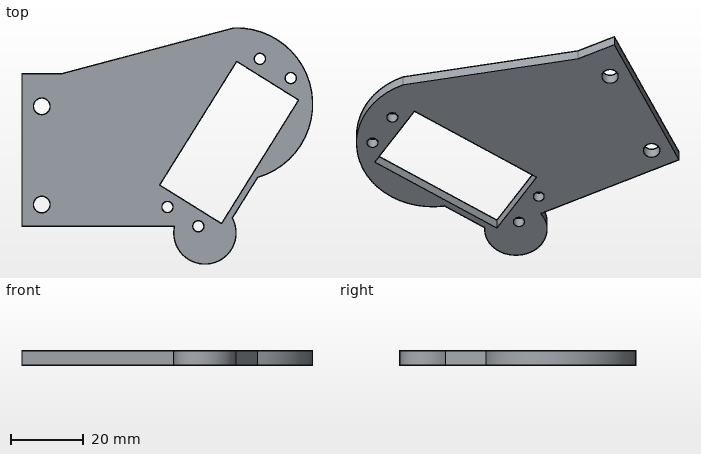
import cadquery as cq
import math

thickness = 4.0
overall_length = 80.0
plate_height = 42.0
top_flat_length = 11.0

large_radius = 21.0
large_center = (overall_length - large_radius, 33.6)
large_arc_start_offset = 0.7

small_radius = 8.6
small_center = (50.35, -1.8)

servo_center = (57.0, 23.05)
servo_angle = 58.05
window_length = 40.0
window_width = 20.0
window_wall = 1.75
servo_hole_diameter = 3.0
servo_hole_length_pitch = 48.0
servo_hole_width_pitch = 10.0

mount_hole_diameter = 4.5
mount_hole_inset = 5.5
mount_hole_bottom = 6.0
mount_hole_pitch = 27.0

angle = math.radians(servo_angle)
along = (math.cos(angle), math.sin(angle))
outward = (math.sin(angle), -math.cos(angle))


def point_on_circle(center, radius, degrees):
    turn = math.radians(degrees)
    return (center[0] + radius * math.cos(turn), center[1] + radius * math.sin(turn))


def wall_meets_circle(center, radius, side):
    """Point where the outer wall line crosses a circle; side +1 is the crossing farther along the wall."""
    wall_offset = window_width / 2 + window_wall
    wall_x = servo_center[0] + wall_offset * outward[0]
    wall_y = servo_center[1] + wall_offset * outward[1]
    to_center = (center[0] - wall_x, center[1] - wall_y)
    distance = to_center[0] * outward[0] + to_center[1] * outward[1]
    middle = to_center[0] * along[0] + to_center[1] * along[1]
    travel = middle + side * math.sqrt(radius**2 - distance**2)
    return (wall_x + travel * along[0], wall_y + travel * along[1])


def make_plate():
    arc_start_rise = math.sqrt(large_radius**2 - large_arc_start_offset**2)
    large_arc_start = (large_center[0] - large_arc_start_offset, large_center[1] + arc_start_rise)
    large_arc_end = wall_meets_circle(large_center, large_radius, -1)
    foot_arc_start = wall_meets_circle(small_center, small_radius, 1)
    foot_arc_end = (small_center[0] - math.sqrt(small_radius**2 - small_center[1] ** 2), 0)
    return (
        cq.Workplane("XY")
        .moveTo(0, 0)
        .lineTo(0, plate_height)
        .lineTo(top_flat_length, plate_height)
        .lineTo(*large_arc_start)
        .threePointArc(point_on_circle(large_center, large_radius, 0), large_arc_end)
        .lineTo(*foot_arc_start)
        .threePointArc(point_on_circle(small_center, small_radius, -90), foot_arc_end)
        .close()
        .extrude(thickness)
    )


def servo_cutters():
    frame = cq.Workplane("XY").center(*servo_center).transformed(rotate=(0, 0, servo_angle))
    window = frame.rect(window_length, window_width).extrude(thickness)
    holes = (
        frame.rect(servo_hole_length_pitch, servo_hole_width_pitch, forConstruction=True)
        .vertices()
        .circle(servo_hole_diameter / 2)
        .extrude(thickness)
    )
    return window, holes


def mount_hole_cutter():
    centers = [(mount_hole_inset, mount_hole_bottom + i * mount_hole_pitch) for i in range(2)]
    return cq.Workplane("XY").pushPoints(centers).circle(mount_hole_diameter / 2).extrude(thickness)


servo_window, servo_holes = servo_cutters()
result = make_plate().cut(servo_window).cut(servo_holes).cut(mount_hole_cutter())